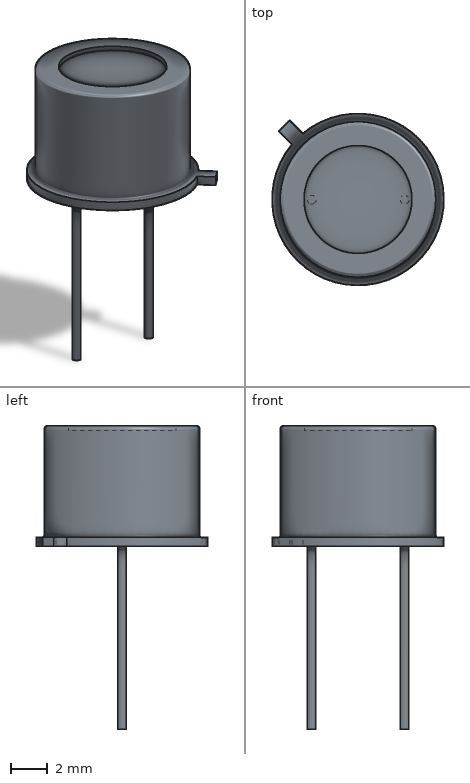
import cadquery as cq

flange_diameter = 9.4
flange_thickness = 0.5

cap_diameter = 8.5
cap_top = 6.6
cap_top_fillet = 0.2
cap_foot_fillet = 0.1

window_diameter = 5.9
window_depth = 0.25

tab_width = 0.85
tab_reach = 5.7
tab_angle = 135

lead_diameter = 0.48
lead_length = 10.0
lead_spacing = 5.08


def make_flange():
    return cq.Workplane("XY").circle(flange_diameter / 2).extrude(flange_thickness)


def make_tab():
    """Rectangular tab running radially out from the part axis."""
    return (
        cq.Workplane("XY")
        .rect(tab_reach, tab_width)
        .extrude(flange_thickness)
        .translate((tab_reach / 2, 0, 0))
        .rotate((0, 0, 0), (0, 0, 1), tab_angle)
    )


def make_cap():
    """Revolved cap with a rounded top edge and a concave fillet at its foot."""
    radius = cap_diameter / 2
    foot_radius = radius + cap_foot_fillet
    foot_top = flange_thickness + cap_foot_fillet
    shoulder = cap_top - cap_top_fillet
    half_section = (
        cq.Workplane("XZ")
        .moveTo(0, 0)
        .lineTo(foot_radius, 0)
        .lineTo(foot_radius, flange_thickness)
        .radiusArc((radius, foot_top), cap_foot_fillet)
        .lineTo(radius, shoulder)
        .radiusArc((radius - cap_top_fillet, cap_top), -cap_top_fillet)
        .lineTo(0, cap_top)
        .close()
    )
    return half_section.revolve(360, (0, 0, 0), (0, 1, 0))


def make_window():
    return (
        cq.Workplane("XY", origin=(0, 0, cap_top - window_depth))
        .circle(window_diameter / 2)
        .extrude(window_depth)
    )


def make_leads():
    """Two leads hanging below the flange, one on each side along X."""
    return (
        cq.Workplane("XY")
        .pushPoints([(side * lead_spacing / 2, 0) for side in (-1, 1)])
        .circle(lead_diameter / 2)
        .extrude(-lead_length)
    )


result = (
    make_flange()
    .union(make_tab())
    .union(make_cap())
    .cut(make_window())
    .union(make_leads())
)